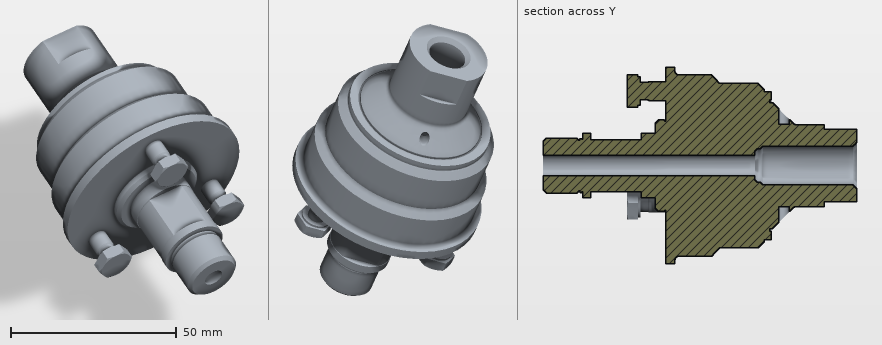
import cadquery as cq
import math


spindle_radius = 25.0 / 2
spindle_flat_length = 9.8
spindle_flat_height = 11.0
spindle_end = 18.4
cone_angle = math.radians(45)
cone_fillet = 1.2
cone_end_radius = 19.2

ring_start = 25.9
ring_radius = 22.5
ring_bore_radius = 19.9
ring_end = 27.9
shoulder_start_radius = 23.0
small_drum_start = 29.9
small_drum_radius = 25.0
small_drum_end = 41.6
large_drum_start = 44.0
large_drum_radius = 27.55
flange_start = 55.0
flange_fillet = 1.0
flange_end = 57.95
flange_radius = 29.8

hub_radius = 14.0
hub_end = 61.1
hub_foot_chamfer = 0.5
hub_chamfer = 1.0
collar_radius = 19.8 / 2
shaft_flat_start = 65.4
shaft_flat_end = 80.5
shaft_flat_height = 15.9 / 2
shaft_body_radius = 9.7
collar_end = 83.0
seal_radius = 8.3
seal_shoulder_radius = 7.9
seal_start = 83.3
seal_end = 83.7
neck_radius = 7.7
neck_end = 84.1
spigot_start = 84.7
spigot_radius = 16.8 / 2
spigot_chamfer = 1.0
total_length = 95.0

mouth_radius = 7.0
bore_radius = 11.5 / 2
mouth_chamfer = mouth_radius - bore_radius
bore_depth = 28.5
seat_radius = 5.0
seat_length = 0.95
floor_radius = 4.4
through_radius = 6.0 / 2

cone_hole_diameter = 3.0
cone_hole_x = 22.1
cone_hole_floor = 12.5

bolt_count = 3
bolt_circle_radius = 22.5
bolt_shank_diameter = 6.0
bolt_shank_end = 62.8
bolt_neck_diameter = 5.4
bolt_neck_start = 63.3
washer_face_diameter = 8.7
washer_face_start = 65.55
head_start = 66.2
head_end = 69.6
head_flats_width = 10.0
head_sides = 6
head_chamfer_angle = math.radians(30)


def revolve_about_x(outline):
    return outline.close().revolve(360, (0, 0, 0), (1, 0, 0))


def spindle_and_housing():
    """Revolved outer body from the spindle mouth to the flange."""
    half_angle = cone_angle / 2
    fillet_axial = cone_fillet * math.sin(cone_angle)
    fillet_radial = cone_fillet * (1 - math.cos(cone_angle))
    fillet_mid = (
        spindle_end + cone_fillet * math.sin(half_angle),
        spindle_radius + cone_fillet * (1 - math.cos(half_angle)),
    )
    cone_start = (spindle_end + fillet_axial, spindle_radius + fillet_radial)
    cone_end_x = cone_start[0] + (cone_end_radius - cone_start[1]) / math.tan(cone_angle)
    groove_floor = cone_end_x + ring_bore_radius - cone_end_radius
    arc_inset = flange_fillet * (1 - math.cos(math.radians(45)))
    flange_fillet_mid = (flange_start - arc_inset, large_drum_radius + arc_inset)
    outline = (
        cq.Workplane("XY")
        .lineTo(0, spindle_radius)
        .lineTo(spindle_end, spindle_radius)
        .threePointArc(fillet_mid, cone_start)
        .lineTo(cone_end_x, cone_end_radius)
        .lineTo(groove_floor, cone_end_radius)
        .lineTo(groove_floor, ring_bore_radius)
        .lineTo(ring_start, ring_bore_radius)
        .lineTo(ring_start, ring_radius)
        .lineTo(ring_end, ring_radius)
        .lineTo(ring_end, shoulder_start_radius)
        .lineTo(small_drum_start, small_drum_radius)
        .lineTo(small_drum_end, small_drum_radius)
        .lineTo(large_drum_start, large_drum_radius)
        .lineTo(flange_start - flange_fillet, large_drum_radius)
        .threePointArc(flange_fillet_mid, (flange_start, large_drum_radius + flange_fillet))
        .lineTo(flange_start, flange_radius)
        .lineTo(flange_end, flange_radius)
        .lineTo(flange_end, 0)
    )
    return revolve_about_x(outline)


def output_shaft():
    """Hub, collars and spigot, with a bevelled seal ring behind the collar."""
    outline = (
        cq.Workplane("XY")
        .moveTo(flange_end, 0)
        .lineTo(flange_end, hub_radius - hub_foot_chamfer)
        .lineTo(flange_end + hub_foot_chamfer, hub_radius)
        .lineTo(hub_end - hub_chamfer, hub_radius)
        .lineTo(hub_end, hub_radius - hub_chamfer)
        .lineTo(hub_end, collar_radius)
        .lineTo(shaft_flat_start, collar_radius)
        .lineTo(shaft_flat_start, shaft_body_radius)
        .lineTo(shaft_flat_end, shaft_body_radius)
        .lineTo(shaft_flat_end, collar_radius)
        .lineTo(collar_end, collar_radius)
        .lineTo(collar_end, seal_shoulder_radius)
        .lineTo(seal_start, seal_radius)
        .lineTo(seal_end, seal_radius)
        .lineTo(neck_end, neck_radius)
        .lineTo(spigot_start, spigot_radius)
        .lineTo(total_length - spigot_chamfer, spigot_radius)
        .lineTo(total_length, spigot_radius - spigot_chamfer)
        .lineTo(total_length, 0)
    )
    return revolve_about_x(outline)


def flat_cutters(x_start, x_end, height):
    """Pair of blocks that leave flats at z = +height and z = -height."""
    length = x_end - x_start
    width = 2 * spindle_radius
    block = cq.Workplane("XY").box(length, width, width, centered=(False, True, False))
    upper = block.translate((x_start, 0, height))
    return upper.union(upper.mirror("XY"))


def bore():
    """Chamfered bore with a narrower bevelled seat, and the smaller hole through the whole length."""
    seat_start = bore_depth + bore_radius - seat_radius
    seat_end = seat_start + seat_length
    floor_x = seat_end + seat_radius - floor_radius
    outline = (
        cq.Workplane("XY")
        .lineTo(0, mouth_radius)
        .lineTo(mouth_chamfer, bore_radius)
        .lineTo(bore_depth, bore_radius)
        .lineTo(seat_start, seat_radius)
        .lineTo(seat_end, seat_radius)
        .lineTo(floor_x, floor_radius)
        .lineTo(floor_x, through_radius)
        .lineTo(total_length, through_radius)
        .lineTo(total_length, 0)
    )
    return revolve_about_x(outline)


def cone_holes():
    """Blind holes into the cone, above and below the axis."""
    upper = (
        cq.Workplane("XY", origin=(cone_hole_x, 0, cone_hole_floor))
        .circle(cone_hole_diameter / 2)
        .extrude(ring_bore_radius - cone_hole_floor)
    )
    return upper.union(upper.mirror("XY"))


def bolt():
    """Hexagon bolt on the X axis, with two head corners along Y."""
    corner_diameter = head_flats_width / math.cos(math.pi / head_sides)
    head = (
        cq.Workplane("YZ", origin=(head_start, 0, 0))
        .polygon(head_sides, corner_diameter)
        .extrude(head_end - head_start)
    )
    corner_drop = (corner_diameter - head_flats_width) / 2 * math.tan(head_chamfer_angle)
    rounding = revolve_about_x(
        cq.Workplane("XY")
        .moveTo(head_start, 0)
        .lineTo(head_start, corner_diameter / 2)
        .lineTo(head_end - corner_drop, corner_diameter / 2)
        .lineTo(head_end, head_flats_width / 2)
        .lineTo(head_end, 0)
    )
    stem = revolve_about_x(
        cq.Workplane("XY")
        .moveTo(flange_start, 0)
        .lineTo(flange_start, bolt_shank_diameter / 2)
        .lineTo(bolt_shank_end, bolt_shank_diameter / 2)
        .lineTo(bolt_neck_start, bolt_neck_diameter / 2)
        .lineTo(washer_face_start, bolt_neck_diameter / 2)
        .lineTo(washer_face_start, washer_face_diameter / 2)
        .lineTo(head_start, washer_face_diameter / 2)
        .lineTo(head_start, 0)
    )
    return head.intersect(rounding).union(stem)


part = spindle_and_housing().union(output_shaft())
part = part.cut(flat_cutters(0, spindle_flat_length, spindle_flat_height))
part = part.cut(flat_cutters(shaft_flat_start, shaft_flat_end, shaft_flat_height))
part = part.cut(bore()).cut(cone_holes())

for index in range(bolt_count):
    angle = math.radians(90 + index * 360 / bolt_count)
    offset = (0, bolt_circle_radius * math.cos(angle), bolt_circle_radius * math.sin(angle))
    part = part.union(bolt().translate(offset))

result = part